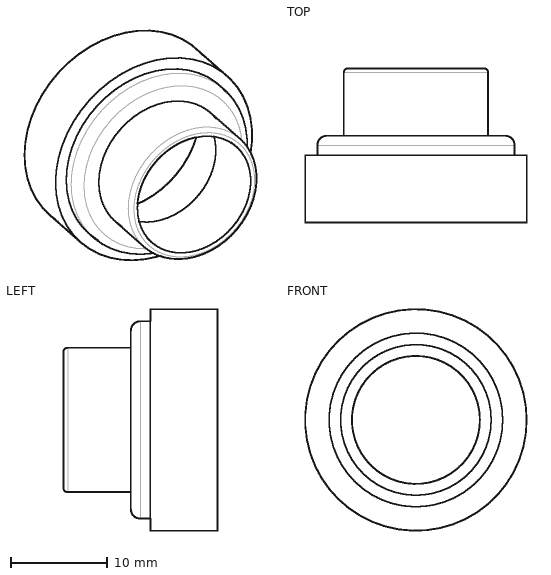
import cadquery as cq

flange_diameter = 23.0
shoulder_diameter = 20.5
neck_diameter = 15.0

overall_length = 16.0
flange_length = 7.0
neck_length = 7.0
shoulder_length = overall_length - flange_length - neck_length

shoulder_fillet = 1.0
neck_fillet = 0.44

socket_diameter = 18.0
socket_depth = 7.0
lead_in_diameter = 15.62
bore_diameter = 13.25
lead_in_depth = (lead_in_diameter - bore_diameter) / 2


def cylinder(diameter, start, length):
    """Solid cylinder on the Y axis, running from y = start toward +Y."""
    return cq.Workplane("XZ", origin=(0, start, 0)).circle(diameter / 2).extrude(-length)


flange = cylinder(flange_diameter, 0, flange_length)
shoulder = cylinder(shoulder_diameter, flange_length, shoulder_length)
shoulder = shoulder.faces(">Y").edges().fillet(shoulder_fillet)
neck = cylinder(neck_diameter, flange_length + shoulder_length, neck_length)
neck = neck.faces(">Y").edges().fillet(neck_fillet)
body = flange.union(shoulder).union(neck)

socket = cylinder(socket_diameter, 0, socket_depth)
through_bore = cylinder(bore_diameter, 0, overall_length)
lead_in = (
    cq.Workplane("XY")
    .polyline([
        (0, socket_depth),
        (lead_in_diameter / 2, socket_depth),
        (bore_diameter / 2, socket_depth + lead_in_depth),
        (0, socket_depth + lead_in_depth),
    ])
    .close()
    .revolve(360, (0, 0, 0), (0, 1, 0))
)

result = body.cut(socket).cut(lead_in).cut(through_bore)